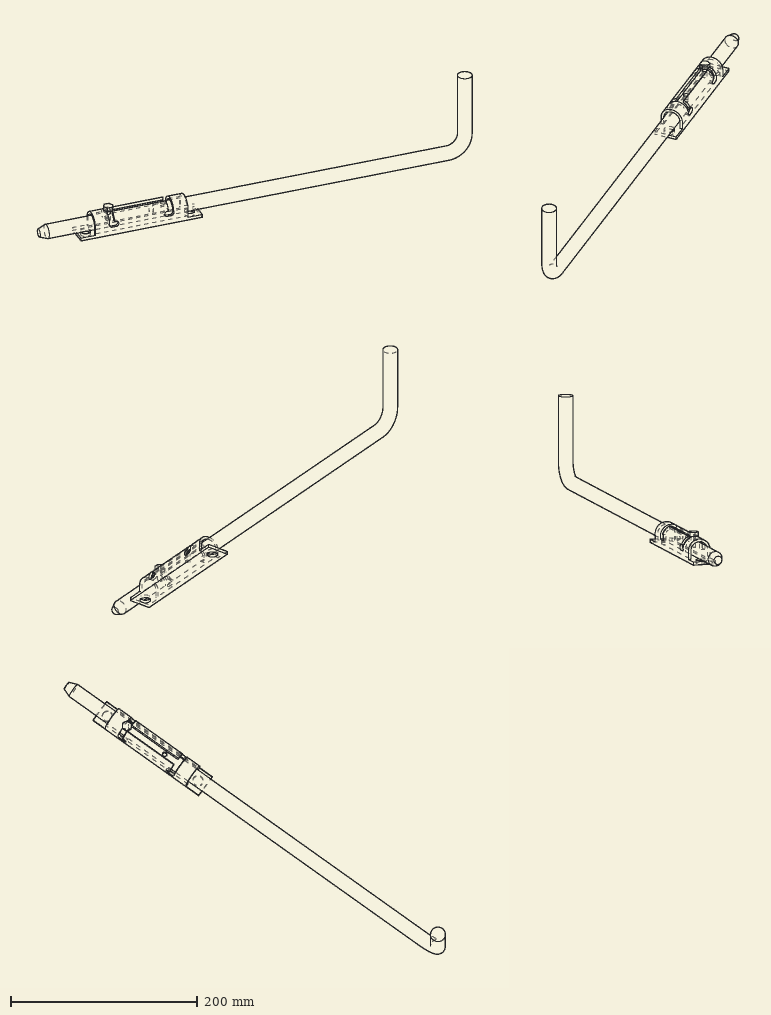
import cadquery as cq
import math


total_length = 500.0
rod_diameter = 16.0
rod_radius = rod_diameter / 2
bend_radius = 20.0
handle_top = 92.0
nose_length = 9.0
nose_end_radius = 4.5
tip_y = -114.0
handle_y = tip_y + total_length - rod_radius

housing_width = 25.0
arch_radius = housing_width / 2
wall = 3.0
base_z = -12.5
plate_length = 140.0
plate_thickness = 3.5
sleeve_length = 107.0
screw_hole_diameter = 11.0
screw_hole_y = 60.0

cross_slot_y = 34.0
cross_slot_width = 6.0
long_slot_angle = 40.0
notch_length = 10.5
notch_height = 6.0

pin_y = -cross_slot_y
pin_diameter = 5.0
pin_head_across_corners = 11.0
pin_head_bottom = arch_radius
pin_head_top = 17.0
spare_hole_y = pin_y + 50.0
pin_hole_bottom = 0.0
drill_point_height = 1.5


def cylinder_up(radius, y, bottom, top):
    """Vertical cylinder standing on the bolt's centre plane."""
    return cq.Workplane("XY", origin=(0, y, bottom)).circle(radius).extrude(top - bottom)


def make_housing():
    plate = cq.Workplane("XY", origin=(0, 0, base_z)).box(
        housing_width, plate_length, plate_thickness, centered=(True, True, False)
    )
    sleeve = make_arch(arch_radius, sleeve_length, base_z)
    bore = make_arch(arch_radius - wall, sleeve_length, base_z + plate_thickness)
    housing = plate.union(sleeve).cut(bore).cut(make_guide_slots())
    for y in (-screw_hole_y, screw_hole_y):
        housing = housing.cut(cylinder_up(screw_hole_diameter / 2, y, base_z, base_z + plate_thickness))
    return housing


def make_arch(radius, length, bottom):
    """Solid with straight sides and a half-round top."""
    return (
        cq.Workplane("XZ", origin=(0, length / 2, 0))
        .moveTo(-radius, bottom)
        .lineTo(-radius, 0)
        .threePointArc((0, radius), (radius, 0))
        .lineTo(radius, bottom)
        .close()
        .extrude(length)
    )


def make_guide_slots():
    """One lengthwise slot joining two cross slots, which end in notches facing the middle."""
    wedge_height = 2 * arch_radius
    wedge_half_width = wedge_height * math.tan(math.radians(long_slot_angle / 2))
    slots = (
        cq.Workplane("XZ", origin=(0, cross_slot_y, 0))
        .polyline([(0, 0), (-wedge_half_width, wedge_height), (wedge_half_width, wedge_height)])
        .close()
        .extrude(2 * cross_slot_y)
    )
    for side in (-1, 1):
        cross_slot = cq.Workplane("XY", origin=(0, side * cross_slot_y, 0)).box(
            housing_width, cross_slot_width, arch_radius, centered=(True, True, False)
        )
        notch_y = side * (cross_slot_y + cross_slot_width / 2 - notch_length / 2)
        notch = (
            cq.Workplane("YZ", origin=(0, notch_y, 0))
            .slot2D(notch_length, notch_height)
            .extrude(arch_radius, both=True)
        )
        slots = slots.union(cross_slot).union(notch)
    return slots


def make_bolt():
    nose_base_y = tip_y + nose_length
    nose = (
        cq.Workplane("YZ")
        .moveTo(tip_y, 0)
        .lineTo(tip_y, nose_end_radius)
        .lineTo(nose_base_y, rod_radius)
        .lineTo(nose_base_y, 0)
        .close()
        .revolve(360, (0, 0), (1, 0))
    )
    bend_offset = bend_radius * 0.5 ** 0.5
    centreline = (
        cq.Workplane("YZ")
        .moveTo(nose_base_y, 0)
        .lineTo(handle_y - bend_radius, 0)
        .threePointArc(
            (handle_y - bend_radius + bend_offset, bend_radius - bend_offset),
            (handle_y, bend_radius),
        )
        .lineTo(handle_y, handle_top)
    )
    rod = cq.Workplane("XZ", origin=(0, nose_base_y, 0)).circle(rod_radius).sweep(centreline)
    bolt = rod.union(nose)
    for hole_y in (pin_y, spare_hole_y):
        bolt = bolt.cut(cylinder_up(pin_diameter / 2, hole_y, pin_hole_bottom, arch_radius))
    drill_point = cq.Solid.makeCone(
        pin_diameter / 2,
        0,
        drill_point_height,
        pnt=cq.Vector(0, spare_hole_y, pin_hole_bottom),
        dir=cq.Vector(0, 0, -1),
    )
    return bolt.cut(cq.Workplane(obj=drill_point))


def make_pin():
    shank = cylinder_up(pin_diameter / 2, pin_y, pin_hole_bottom, pin_head_bottom)
    hexagon = cq.Workplane("XY", origin=(0, pin_y, pin_head_bottom)).transformed(rotate=(0, 0, 90))
    head = hexagon.polygon(6, pin_head_across_corners).extrude(pin_head_top - pin_head_bottom)
    return shank.union(head)


housing = make_housing()
bolt = make_bolt()
pin = make_pin()

result = cq.Compound.makeCompound([housing.val(), bolt.val(), pin.val()])